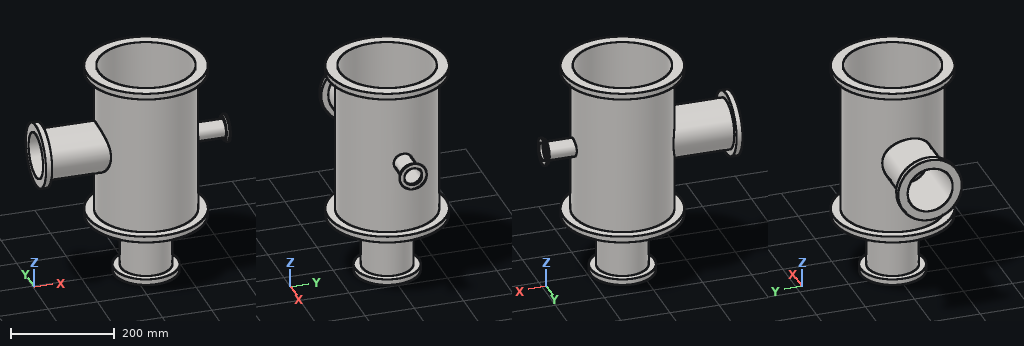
import cadquery as cq

chamber_diameter = 202.0
chamber_bore = 192.0
chamber_height = 324.0
chamber_flange_diameter = 240.0
flange_thickness = 12.5

port_diameter = 102.0
side_port_bore = 92.0
bottom_port_bore = 94.0
port_flange_diameter = 130.0
side_port_reach = 223.5
overall_height = 445.5

small_port_diameter = 38.0
small_port_bore = 36.0
small_port_reach = 163.0
ferrule_back_diameter = 48.0
ferrule_rim_diameter = 55.0
ferrule_length = 7.0
ferrule_rim_length = 2.5

chamber_top = chamber_height / 2
chamber_bottom = -chamber_height / 2
bottom_port_reach = overall_height - chamber_top

upward = cq.Vector(0, 0, 1)
downward = cq.Vector(0, 0, -1)
toward_minus_x = cq.Vector(-1, 0, 0)
toward_plus_x = cq.Vector(1, 0, 0)


def cylinder(diameter, start, end, direction):
    """Cylinder on an axis through the origin, between two distances along it."""
    return cq.Workplane(cq.Solid.makeCylinder(diameter / 2, end - start, direction * start, direction))


def flanged_tube(diameter, flange_diameter, reach, direction):
    """Solid tube from the origin with a plain flange at its outer end."""
    tube = cylinder(diameter, 0, reach, direction)
    flange = cylinder(flange_diameter, reach - flange_thickness, reach, direction)
    return tube.union(flange)


def clamp_ferrule():
    """Conical clamping shoulder and rim at the end of the small port."""
    shoulder_start = small_port_reach - ferrule_length
    rim_start = small_port_reach - ferrule_rim_length
    profile = [
        (shoulder_start, 0),
        (shoulder_start, ferrule_back_diameter / 2),
        (rim_start, ferrule_rim_diameter / 2),
        (small_port_reach, ferrule_rim_diameter / 2),
        (small_port_reach, 0),
    ]
    return cq.Workplane("XZ").polyline(profile).close().revolve(360, (0, 0, 0), (1, 0, 0))


body = flanged_tube(chamber_diameter, chamber_flange_diameter, chamber_top, upward)
body = body.union(flanged_tube(chamber_diameter, chamber_flange_diameter, -chamber_bottom, downward))
body = body.union(flanged_tube(port_diameter, port_flange_diameter, side_port_reach, toward_minus_x))
body = body.union(flanged_tube(port_diameter, port_flange_diameter, bottom_port_reach, downward))
body = body.union(cylinder(small_port_diameter, 0, small_port_reach, toward_plus_x))
body = body.union(clamp_ferrule())

floor_height = chamber_bottom + flange_thickness
body = body.cut(cylinder(chamber_bore, floor_height, chamber_top, upward))
body = body.cut(cylinder(side_port_bore, 0, side_port_reach, toward_minus_x))
body = body.cut(cylinder(bottom_port_bore, 0, bottom_port_reach, downward))
body = body.cut(cylinder(small_port_bore, 0, small_port_reach, toward_plus_x))

result = body